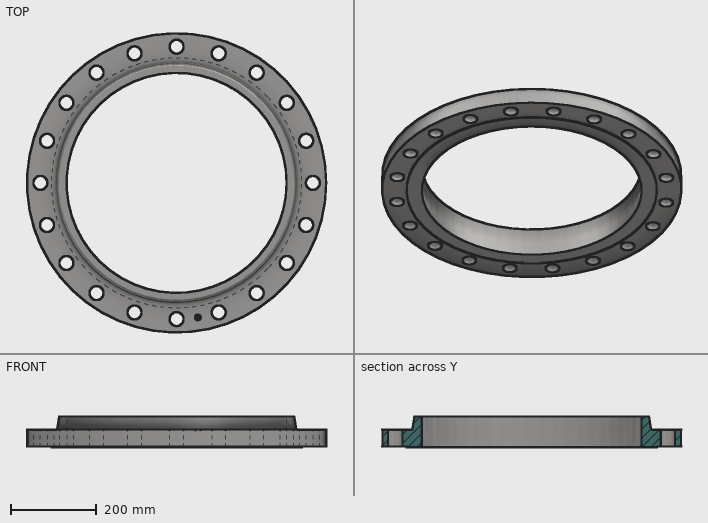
import cadquery as cq
import math

flange_diameter = 698.0
bore_diameter = 512.5
flange_thickness = 40.0

raised_face_diameter = 584.0
raised_face_height = 2.0

overall_height = 72.5
hub_base_diameter = 558.5
hub_top_diameter = 549.0
hub_fillet = 2.0

bolt_count = 20
bolt_circle_diameter = 635.5
bolt_hole_diameter = 32.0
bolt_pitch_angle = 360.0 / bolt_count

stepped_hole_angle = -90.0 + bolt_pitch_angle / 2
step_diameters = [13.0, 10.0, 3.0]
step_depth = 2.0

flange_bottom = raised_face_height
flange_top = flange_bottom + flange_thickness
bolt_circle_radius = bolt_circle_diameter / 2


def ring_body():
    """Revolved raised face, flange and tapered hub, with the hub's outer edges rounded."""
    section = [
        (bore_diameter / 2, 0),
        (raised_face_diameter / 2, 0),
        (raised_face_diameter / 2, flange_bottom),
        (flange_diameter / 2, flange_bottom),
        (flange_diameter / 2, flange_top),
        (hub_base_diameter / 2, flange_top),
        (hub_top_diameter / 2, overall_height),
        (bore_diameter / 2, overall_height),
    ]
    body = cq.Workplane("XZ").polyline(section).close().revolve(360, (0, 0), (0, 1))

    body = body.faces(">Z").edges(cq.selectors.RadiusNthSelector(-1)).fillet(hub_fillet)

    flange_face = body.faces("+Z").faces("<Z")
    return flange_face.edges(cq.selectors.RadiusNthSelector(0)).fillet(hub_fillet)


def bolt_holes():
    """Through holes evenly spaced on the bolt circle."""
    return (
        cq.Workplane("XY")
        .polarArray(bolt_circle_radius, 0, 360, bolt_count)
        .circle(bolt_hole_diameter / 2)
        .extrude(flange_top)
    )


def stepped_hole():
    """Concentric round steps, each narrower one going one step deeper into the flange."""
    angle = math.radians(stepped_hole_angle)
    x = bolt_circle_radius * math.cos(angle)
    y = bolt_circle_radius * math.sin(angle)
    mouth = cq.Workplane("XY", origin=(x, y, flange_top))
    hole = cq.Workplane("XY")
    for level, diameter in enumerate(step_diameters, start=1):
        hole = hole.add(mouth.circle(diameter / 2).extrude(-level * step_depth))
    return hole.combine()


result = ring_body().cut(bolt_holes()).cut(stepped_hole())